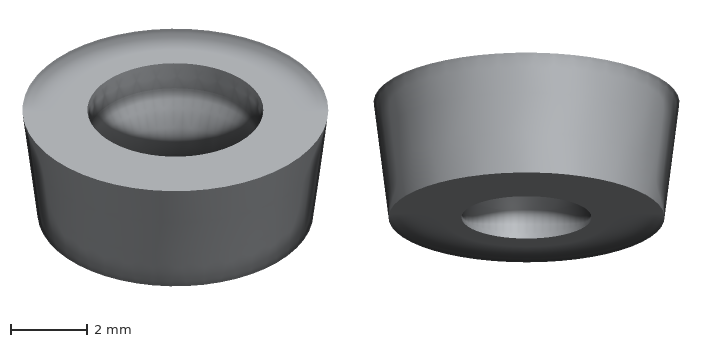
import cadquery as cq
import math


top_diameter = 8.0
thickness = 3.18
clearance_angle = math.radians(7.0)

hole_diameter = 3.4
mouth_diameter = 4.6
seat_radius = 2.4
seat_end_depth = 2.43
corner_depth = 0.9
corner_fillet = 0.5


def make_body():
    """Solid disc tapering down from the top edge at the clearance angle."""
    top_radius = top_diameter / 2
    bottom_radius = top_radius - thickness * math.tan(clearance_angle)
    profile = (
        cq.Workplane("XZ")
        .lineTo(bottom_radius, 0)
        .lineTo(top_radius, thickness)
        .lineTo(0, thickness)
        .close()
    )
    return profile.revolve(360, (0, 0), (0, 1))


def make_screw_opening():
    """Solid of the opening: drafted mouth, blended corner, convex seat and straight hole."""
    hole_radius = hole_diameter / 2
    mouth_radius = mouth_diameter / 2
    seat_end_height = thickness - seat_end_depth
    corner_height = thickness - corner_depth

    seat_angle = math.asin((corner_height - seat_end_height) / seat_radius)

    def seat_point(angle):
        radius = hole_radius + seat_radius * (1 - math.cos(angle))
        return radius, seat_end_height + seat_radius * math.sin(angle)

    corner = seat_point(seat_angle)
    profile = (
        cq.Workplane("XZ")
        .lineTo(hole_radius, 0)
        .lineTo(hole_radius, seat_end_height)
        .threePointArc(seat_point(seat_angle / 2), corner)
        .lineTo(mouth_radius, thickness)
        .lineTo(0, thickness)
        .close()
    )
    corner_vertex = profile.vertices(cq.selectors.NearestToPointSelector((corner[0], 0, corner[1])))
    outline = profile.val().fillet2D(corner_fillet, corner_vertex.vals())
    return cq.Workplane("XZ").newObject([outline]).toPending().revolve(360, (0, 0), (0, 1))


result = make_body().cut(make_screw_opening())